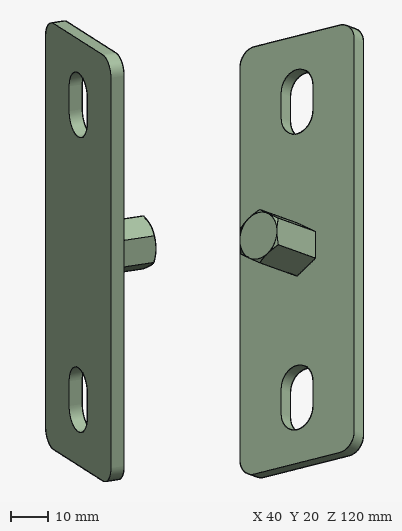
import cadquery as cq
import math

plate_width = 40.0
plate_height = 120.0
plate_thickness = 4.0
corner_radius = 5.0

slot_width = 11.0
slot_length = 18.0
slot_spacing = 83.0

total_depth = 20.0
hex_across_flats = 13.0
hex_across_corners = hex_across_flats / math.cos(math.radians(30))
hex_length = total_depth - plate_thickness

chamfer_angle = 30.0
chamfer_radial = (hex_across_corners - hex_across_flats) / 2
chamfer_depth = chamfer_radial * math.tan(math.radians(chamfer_angle))


def make_plate():
    return (
        cq.Workplane("XY")
        .box(plate_width, plate_thickness, plate_height, centered=(True, False, True))
        .edges("|Y")
        .fillet(corner_radius)
    )


def make_slots():
    return (
        cq.Workplane("XZ")
        .pushPoints([(0, -slot_spacing / 2), (0, slot_spacing / 2)])
        .slot2D(slot_length, slot_width, angle=90)
        .extrude(-plate_thickness)
    )


def make_standoff():
    base = cq.Workplane("XZ", origin=(0, plate_thickness, 0))
    hexagon = base.polygon(6, hex_across_corners).extrude(-hex_length)
    hexagon = hexagon.rotate((0, 0, 0), (0, 1, 0), 30)
    envelope = (
        base.circle(hex_across_corners / 2)
        .extrude(-hex_length)
        .faces(">Y")
        .edges()
        .chamfer(chamfer_depth, chamfer_radial)
    )
    return hexagon.intersect(envelope)


result = make_plate().cut(make_slots()).union(make_standoff())